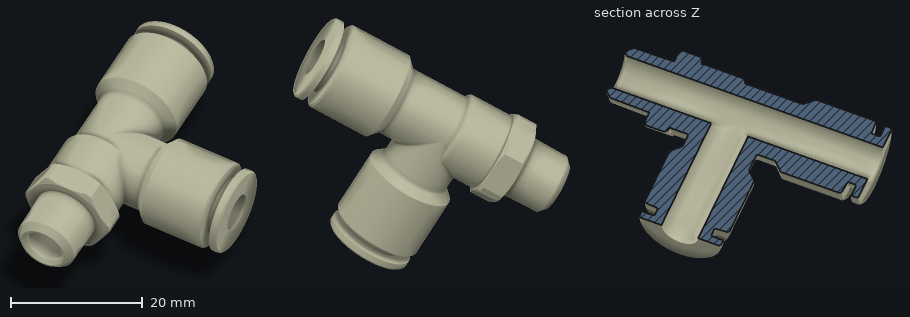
import cadquery as cq
import math


pipe_radius = 11.0 / 2
bore_radius = 6.0 / 2
crease_fillet = 0.3
crease_tip_margin = 1.4

end_length = 22.7
shell_radius = 14.0 / 2
shell_start = 10.0
shell_end = 20.0
shell_rim_chamfer = 0.27
shell_face_rise = 0.15
shell_cone_angle = math.radians(45)
cone_foot_fillet = 0.6
collet_radius = 13.5 / 2
collet_thickness = 1.2
collet_edge_chamfer = 0.25
neck_radius = 9.4 / 2
neck_fillet = 0.2

collar_radius = 12.5 / 2
collar_top = -1.8
collar_bottom = -8.3
collar_shoulder_radius = 0.65
collar_foot_fillet = 0.35
collar_bottom_chamfer = 0.2

hex_top = collar_bottom - collar_bottom_chamfer
hex_bottom = -12.5
hex_sides = 6
hex_across_flats = 13.0
hex_turned_radius = 14.5 / 2
hex_face_radius = 12.95 / 2
hex_chamfer_angle = math.radians(30)

spigot_bottom = -20.0
spigot_root_radius = 4.95
spigot_tip_radius = 4.82
spigot_chamfer = 1.0
bore_entry_chamfer = 0.56


def revolve_about_y(profile):
    """Turn a closed half-profile drawn in the XY plane about the Y axis."""
    return profile.close().revolve(360, (0, 0, 0), (0, 1, 0))


def push_in_end():
    """Shell, neck and release collet, pointing to +Y."""
    tangent_length = cone_foot_fillet * math.tan(shell_cone_angle / 2)
    cone_foot = shell_start - (shell_radius - pipe_radius) / math.tan(shell_cone_angle)
    fillet_start = cone_foot - tangent_length
    fillet_end = (
        pipe_radius + tangent_length * math.sin(shell_cone_angle),
        cone_foot + tangent_length * math.cos(shell_cone_angle),
    )
    collet_bottom = end_length - collet_thickness
    return revolve_about_y(
        cq.Workplane("XY")
        .moveTo(0, fillet_start)
        .lineTo(pipe_radius, fillet_start)
        .radiusArc(fillet_end, cone_foot_fillet)
        .lineTo(shell_radius, shell_start)
        .lineTo(shell_radius, shell_end - shell_rim_chamfer)
        .lineTo(shell_radius - shell_rim_chamfer, shell_end)
        .lineTo(neck_radius, shell_end + shell_face_rise)
        .lineTo(neck_radius, collet_bottom - neck_fillet)
        .radiusArc((neck_radius + neck_fillet, collet_bottom), neck_fillet)
        .lineTo(collet_radius, collet_bottom)
        .lineTo(collet_radius, end_length - collet_edge_chamfer)
        .lineTo(collet_radius - collet_edge_chamfer, end_length)
        .lineTo(0, end_length)
    )


def run_pipe_with_collar():
    """Run pipe that widens into the collar through a concave foot and a convex shoulder."""
    shoulder_centre_radius = collar_radius - collar_shoulder_radius
    foot_centre_radius = pipe_radius + collar_foot_fillet
    arc_centre_distance = collar_shoulder_radius + collar_foot_fillet
    radial_offset = foot_centre_radius - shoulder_centre_radius
    foot_y = collar_top + math.sqrt(arc_centre_distance**2 - radial_offset**2)
    shoulder_share = collar_shoulder_radius / arc_centre_distance
    tangent_point = (
        shoulder_centre_radius + shoulder_share * radial_offset,
        collar_top + shoulder_share * (foot_y - collar_top),
    )
    return revolve_about_y(
        cq.Workplane("XY")
        .moveTo(0, hex_top)
        .lineTo(collar_radius - collar_bottom_chamfer, hex_top)
        .lineTo(collar_radius, collar_bottom)
        .lineTo(collar_radius, collar_top)
        .radiusArc(tangent_point, -collar_shoulder_radius)
        .radiusArc((pipe_radius, foot_y), collar_foot_fillet)
        .lineTo(pipe_radius, shell_start)
        .lineTo(0, shell_start)
    )


def tee_body():
    """Run pipe, collar and branch pipe, with the creases along the branch filleted."""
    branch = cq.Workplane("YZ").circle(pipe_radius).extrude(shell_start)
    body = run_pipe_with_collar().union(branch)
    crease_zone = cq.selectors.BoxSelector(
        (crease_tip_margin, -pipe_radius, -pipe_radius),
        (collar_radius, pipe_radius, pipe_radius),
    )
    return body.edges(crease_zone).fillet(crease_fillet)


def hexagon():
    """Hexagon with turned corners and a 30 degree chamfer on both faces; two corners lie on the X axis."""
    prism = (
        cq.Workplane("XZ", origin=(0, hex_top, 0))
        .polygon(hex_sides, hex_across_flats / math.cos(math.pi / hex_sides))
        .extrude(hex_top - hex_bottom)
    )
    chamfer_height = (hex_turned_radius - hex_face_radius) * math.tan(hex_chamfer_angle)
    turned_blank = revolve_about_y(
        cq.Workplane("XY")
        .moveTo(0, hex_bottom)
        .lineTo(hex_face_radius, hex_bottom)
        .lineTo(hex_turned_radius, hex_bottom + chamfer_height)
        .lineTo(hex_turned_radius, hex_top - chamfer_height)
        .lineTo(hex_face_radius, hex_top)
        .lineTo(0, hex_top)
    )
    return prism.intersect(turned_blank)


def spigot():
    """Tapered male spigot with a chamfered tip."""
    return revolve_about_y(
        cq.Workplane("XY")
        .moveTo(0, spigot_bottom)
        .lineTo(spigot_tip_radius - spigot_chamfer, spigot_bottom)
        .lineTo(spigot_tip_radius, spigot_bottom + spigot_chamfer)
        .lineTo(spigot_root_radius, hex_bottom)
        .lineTo(0, hex_bottom)
    )


def bores():
    """Straight bore through the run, countersunk at the spigot tip, and a branch bore that meets it."""
    run_bore = revolve_about_y(
        cq.Workplane("XY")
        .moveTo(0, spigot_bottom)
        .lineTo(bore_radius + bore_entry_chamfer, spigot_bottom)
        .lineTo(bore_radius, spigot_bottom + bore_entry_chamfer)
        .lineTo(bore_radius, end_length)
        .lineTo(0, end_length)
    )
    branch_bore = cq.Workplane("YZ").circle(bore_radius).extrude(end_length)
    return run_bore.union(branch_bore)


run_end = push_in_end()
branch_end = run_end.rotate((0, 0, 0), (0, 0, 1), -90)
result = (
    tee_body()
    .union(run_end)
    .union(branch_end)
    .union(hexagon())
    .union(spigot())
    .cut(bores())
)